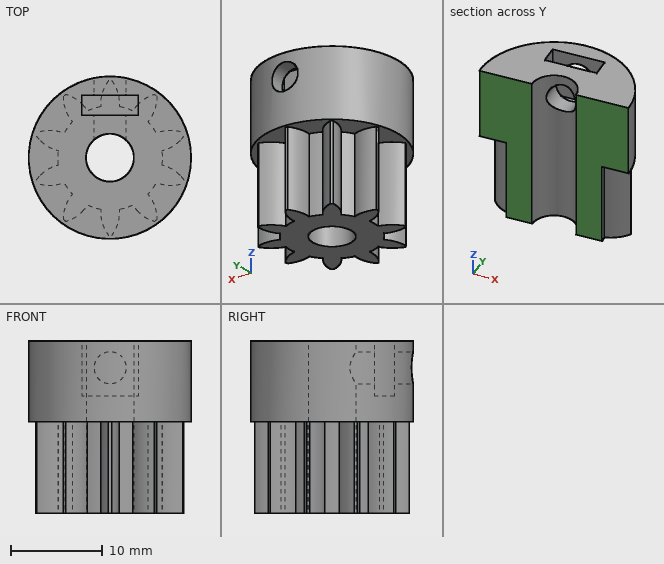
import cadquery as cq
import math

HUB_DIAMETER = 17.79
TOTAL_HEIGHT = 18.85
TOOTH_LENGTH = 10.0
HUB_HEIGHT = TOTAL_HEIGHT - TOOTH_LENGTH
BORE_DIAMETER = 5.21

TOOTH_COUNT = 10
TOOTH_PITCH = 2 * math.pi / TOOTH_COUNT
FIRST_TOOTH_ANGLE = -math.pi / 2
TIP_RADIUS = 8.46
ROOT_RADIUS = 5.72
TIP_HALF_ANGLE = math.radians(1.2)
ROOT_HALF_ANGLE = math.radians(10.2)
FLANK_BULGE = 0.27

SCREW_DIAMETER = 3.5
SCREW_DEPTH_BELOW_TOP = 2.9
SCREW_HEIGHT = TOTAL_HEIGHT - SCREW_DEPTH_BELOW_TOP

SLOT_WIDTH = 6.2
SLOT_THICKNESS = 2.2
SLOT_CENTER_Y = 5.73
SLOT_DEPTH = SCREW_DEPTH_BELOW_TOP + SLOT_WIDTH / 2


def polar(radius, angle):
    return (radius * math.cos(angle), radius * math.sin(angle))


def flank_middle(root, tip, tooth_angle):
    """Middle point of a flank arc, pushed out from its chord, away from the tooth axis."""
    chord_x = tip[0] - root[0]
    chord_y = tip[1] - root[1]
    chord = math.hypot(chord_x, chord_y)
    normal = (-chord_y / chord, chord_x / chord)
    middle = ((root[0] + tip[0]) / 2, (root[1] + tip[1]) / 2)
    side_of_axis = middle[1] * math.cos(tooth_angle) - middle[0] * math.sin(tooth_angle)
    push = math.copysign(FLANK_BULGE, side_of_axis)
    return (middle[0] + push * normal[0], middle[1] + push * normal[1])


def make_teeth():
    start = polar(ROOT_RADIUS, FIRST_TOOTH_ANGLE - ROOT_HALF_ANGLE)
    outline = cq.Workplane("XY").moveTo(*start)
    for index in range(TOOTH_COUNT):
        angle = FIRST_TOOTH_ANGLE + index * TOOTH_PITCH
        root_before = polar(ROOT_RADIUS, angle - ROOT_HALF_ANGLE)
        tip_before = polar(TIP_RADIUS, angle - TIP_HALF_ANGLE)
        tip_after = polar(TIP_RADIUS, angle + TIP_HALF_ANGLE)
        root_after = polar(ROOT_RADIUS, angle + ROOT_HALF_ANGLE)
        gap_middle = polar(ROOT_RADIUS, angle + TOOTH_PITCH / 2)
        next_root = polar(ROOT_RADIUS, angle + TOOTH_PITCH - ROOT_HALF_ANGLE)
        outline = (
            outline.threePointArc(flank_middle(root_before, tip_before, angle), tip_before)
            .threePointArc(polar(TIP_RADIUS, angle), tip_after)
            .threePointArc(flank_middle(root_after, tip_after, angle), root_after)
            .threePointArc(gap_middle, next_root)
        )
    return outline.close().extrude(TOOTH_LENGTH)


def make_hub():
    return cq.Workplane("XY").workplane(offset=TOOTH_LENGTH).circle(HUB_DIAMETER / 2).extrude(HUB_HEIGHT)


def make_bore():
    return cq.Workplane("XY").circle(BORE_DIAMETER / 2).extrude(TOTAL_HEIGHT)


def make_screw_hole():
    return cq.Workplane("XZ").center(0, SCREW_HEIGHT).circle(SCREW_DIAMETER / 2).extrude(-HUB_DIAMETER)


def make_nut_slot():
    return (
        cq.Workplane("XY")
        .workplane(offset=TOTAL_HEIGHT - SLOT_DEPTH)
        .center(0, SLOT_CENTER_Y)
        .rect(SLOT_WIDTH, SLOT_THICKNESS)
        .extrude(SLOT_DEPTH)
    )


result = make_teeth().union(make_hub()).cut(make_bore()).cut(make_screw_hole()).cut(make_nut_slot())